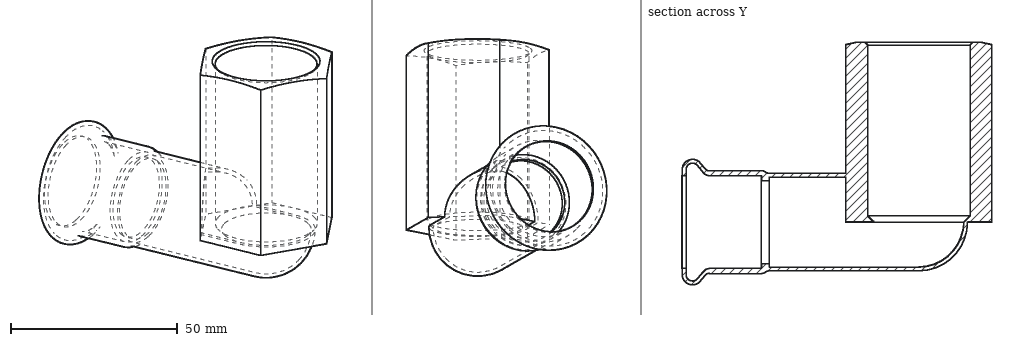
import cadquery as cq
import math

total_length = 92.9
hex_flats = 38.0
total_height = 72.9
bead_diameter = 37.8
hex_top = total_height - bead_diameter / 2
hex_corner_radius = hex_flats / math.sqrt(3)
mouth_x = hex_corner_radius - total_length

bore_bottom_radius = 26.9 / 2
bore_radius = 30.6 / 2
bore_rim_radius = 16.2
bore_chamfer_depth = bore_rim_radius - bore_radius
bore_floor_height = bore_radius - bore_bottom_radius
corner_chamfer_drop = 0.7

pipe_radius = 29.4 / 2
pipe_bore_radius = bore_bottom_radius
socket_radius = 31.0 / 2
socket_bore_radius = 13.85
step_start = 23.8
step_end = 26.2
step_arc_length = 0.9
stop_radius = 12.4

bead_radius = 3.2
bead_ring_radius = bead_diameter / 2 - bead_radius
bead_slope = math.radians(38)
bead_end = 8.3
bead_fillet_length = 1.2
lip_length = 1.3
cavity_slope = math.radians(51)
cavity_fillet_length = 1.9
bead_cavity_radius = bead_radius - lip_length


def bead_point(radius, angle):
    """Point on a circle about the bead centre, angle measured from +radial toward +X."""
    return (
        mouth_x + bead_radius + radius * math.sin(angle),
        bead_ring_radius + radius * math.cos(angle),
    )


def revolve_about_x(profile):
    return profile.close().revolve(360, (0, 0, 0), (1, 0, 0))


def pipe_outside():
    bead_tangent = bead_point(bead_radius, bead_slope)
    fillet_x = mouth_x + bead_end - bead_fillet_length
    fillet_rise = bead_fillet_length * math.tan(bead_slope / 2)
    step_length = step_end - step_start
    step_height = socket_radius - pipe_radius
    arc_drop = step_height * step_arc_length / (2 * (step_length - step_arc_length))
    step_x = mouth_x + step_start
    step_end_x = mouth_x + step_end
    profile = (
        cq.Workplane("XY")
        .moveTo(mouth_x, 0)
        .lineTo(mouth_x, bead_ring_radius)
        .threePointArc(bead_point(bead_radius, 0), bead_tangent)
        .lineTo(fillet_x, socket_radius + fillet_rise)
        .tangentArcPoint((mouth_x + bead_end, socket_radius), relative=False)
        .lineTo(step_x, socket_radius)
        .tangentArcPoint((step_x + step_arc_length, socket_radius - arc_drop), relative=False)
        .lineTo(step_end_x - step_arc_length, pipe_radius + arc_drop)
        .tangentArcPoint((step_end_x, pipe_radius), relative=False)
        .lineTo(0, pipe_radius)
        .lineTo(0, 0)
    )
    return revolve_about_x(profile).union(cq.Workplane("XY").sphere(pipe_radius))


def pipe_inside():
    cavity_tangent = bead_point(bead_cavity_radius, cavity_slope)
    fillet_x = mouth_x + bead_end - cavity_fillet_length
    fillet_rise = cavity_fillet_length * math.tan(cavity_slope / 2)
    profile = (
        cq.Workplane("XY")
        .moveTo(mouth_x, 0)
        .lineTo(mouth_x, socket_bore_radius)
        .lineTo(mouth_x + lip_length, socket_bore_radius)
        .lineTo(mouth_x + lip_length, bead_ring_radius)
        .threePointArc(bead_point(bead_cavity_radius, 0), cavity_tangent)
        .lineTo(fillet_x, socket_bore_radius + fillet_rise)
        .tangentArcPoint((mouth_x + bead_end, socket_bore_radius), relative=False)
        .lineTo(mouth_x + step_start, socket_bore_radius)
        .lineTo(mouth_x + step_start, stop_radius)
        .lineTo(mouth_x + step_end, stop_radius)
        .lineTo(mouth_x + step_end, pipe_bore_radius)
        .lineTo(0, pipe_bore_radius)
        .lineTo(0, 0)
    )
    return revolve_about_x(profile).union(cq.Workplane("XY").sphere(pipe_bore_radius))


def hexagon():
    prism = cq.Workplane("XY").polygon(6, 2 * hex_corner_radius).extrude(hex_top)
    envelope = (
        cq.Workplane("XZ")
        .lineTo(hex_corner_radius, 0)
        .lineTo(hex_corner_radius, hex_top - corner_chamfer_drop)
        .lineTo(hex_flats / 2, hex_top)
        .lineTo(0, hex_top)
        .close()
        .revolve(360, (0, 0, 0), (0, 1, 0))
    )
    return prism.intersect(envelope)


def hexagon_bore():
    return (
        cq.Workplane("XZ")
        .lineTo(bore_bottom_radius, 0)
        .lineTo(bore_radius, bore_floor_height)
        .lineTo(bore_radius, hex_top - bore_chamfer_depth)
        .lineTo(bore_rim_radius, hex_top)
        .lineTo(0, hex_top)
        .close()
        .revolve(360, (0, 0, 0), (0, 1, 0))
    )


result = pipe_outside().cut(pipe_inside()).union(hexagon()).cut(hexagon_bore())